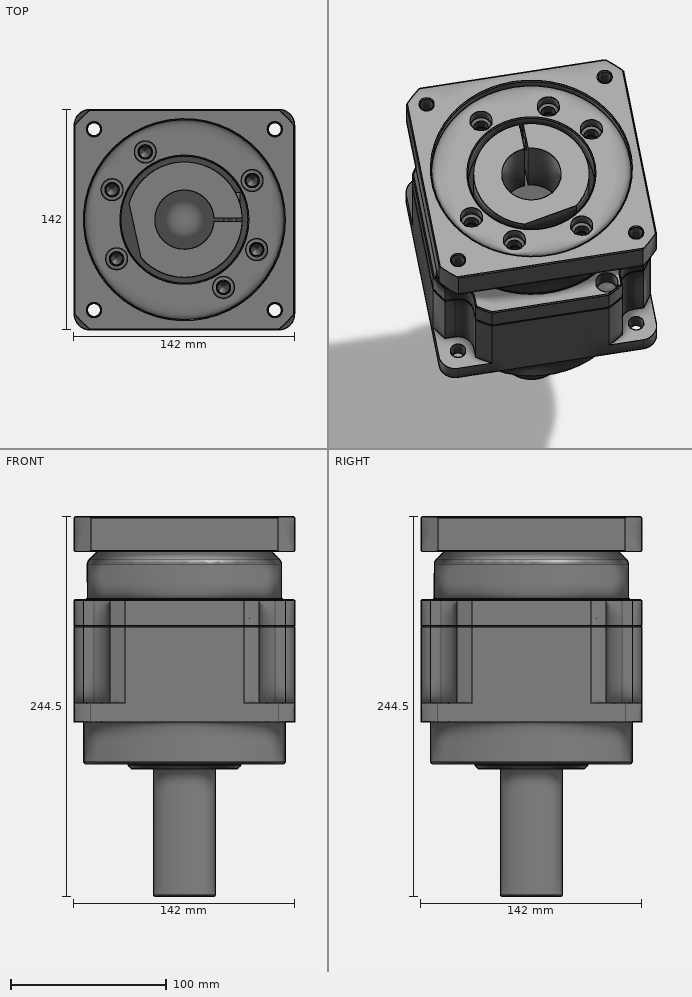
import cadquery as cq
import math

SEAL_BOTTOM = 82.2
PILOT_BOTTOM = 85.3
FLANGE_BOTTOM = 112.5
FLANGE_TOP = 124.5
COVER_BOTTOM = 173.5
COVER_TOP = 191.2
PLATE_BOTTOM = 222.0
PLATE_TOP = 244.5

SQUARE = 142.0
FLANGE_CORNER_RADIUS = 10.5
CASE_CORNER_RADIUS = 80.7
PLATE_CORNER_RADIUS = 93.2
EDGE_CHAMFER = 0.7

MOUNT_OFFSET = 58.2
FLANGE_HOLE_RADIUS = 5.0
PLATE_HOLE_RADIUS = 4.2
PLATE_HOLE_CHAMFER = 0.7
RELIEF_RADIUS = 10.3

SHAFT_RADIUS = 20.0
SHAFT_CHAMFER = 1.0
PILOT_RADIUS = 65.0
PILOT_CHAMFER = 1.2
SEAL_RADIUS = 36.5
SEAL_CHAMFER = 2.5

DRUM_RADIUS = 62.5
DRUM_CHAMFER = 6.4
DRUM_FILLET = 4.5
COLLAR_RADIUS = 63.0
COLLAR_HEIGHT = 0.7

COVER_SCREW_X = 61.9
COVER_SCREW_Y = 38.5
COVER_SCREW_DEPTH = 12.2

HEAD_RADIUS = 7.0
HEAD_DEPTH = 8.5
CLEARANCE_RADIUS = 4.6
TAP_RADIUS = 4.0
TAP_DEPTH = 14.7
TAP_POINT_HEIGHT = 2.2
SCREW_CIRCLE_RADIUS = 50.4
SCREW_ANGLES = (30, 120, 157.5, 210, 300, 337.5)

RECESS_RADIUS = 64.3
RECESS_DEPTH = 6.4
PLATE_FLOOR = PLATE_TOP - RECESS_DEPTH
OPENING_RADIUS = 40.8

HUB_DROP = 1.0
HUB_TOP = PLATE_FLOOR - HUB_DROP
HUB_RADIUS = 37.2
HUB_BORE_RADIUS = 19.0
HUB_BORE_DEPTH = 49.0
HUB_FLAT_DISTANCE = 32.5
HUB_FLAT_ANGLE = 192.4
SLIT_WIDTH = 2.5
CLAMP_SHANK_RADIUS = 4.0
CLAMP_HEAD_RADIUS = 6.5
CLAMP_HEAD_REACH = 36.0
CLAMP_HEAD_END = 17.5
CLAMP_DROP = 12.2


def disc(radius, bottom, top):
    return cq.Workplane("XY").workplane(offset=bottom).circle(radius).extrude(top - bottom)


def square_block(bottom, top):
    return cq.Workplane("XY").workplane(offset=bottom).rect(SQUARE, SQUARE).extrude(top - bottom)


def case_block(bottom, top):
    """Square block with rounded-off corners and a relief over each mounting hole."""
    block = square_block(bottom, top).intersect(disc(CASE_CORNER_RADIUS, bottom, top))
    inner = MOUNT_OFFSET - RELIEF_RADIUS
    relief = (
        cq.Workplane("XY")
        .box(SQUARE, SQUARE, top - bottom, centered=False)
        .translate((inner, inner, bottom))
        .edges("|Z and <X and <Y")
        .fillet(RELIEF_RADIUS)
    )
    for turn in range(4):
        block = block.cut(relief.rotate((0, 0, 0), (0, 0, 1), 90 * turn))
    return block


def mount_holes(radius, bottom, top):
    side = 2 * MOUNT_OFFSET
    holes = cq.Workplane("XY").workplane(offset=bottom).rect(side, side, forConstruction=True).vertices()
    return holes.circle(radius).extrude(top - bottom)


def plate_screw_holes():
    """Counterbore, clearance hole and pointed tap hole at each screw position."""
    head_floor = PLATE_FLOOR - HEAD_DEPTH
    tap_floor = PLATE_BOTTOM - TAP_DEPTH
    profile = (
        cq.Workplane("XZ")
        .moveTo(0, PLATE_FLOOR)
        .lineTo(HEAD_RADIUS, PLATE_FLOOR)
        .lineTo(HEAD_RADIUS, head_floor)
        .lineTo(CLEARANCE_RADIUS, head_floor)
        .lineTo(CLEARANCE_RADIUS, PLATE_BOTTOM)
        .lineTo(TAP_RADIUS, PLATE_BOTTOM)
        .lineTo(TAP_RADIUS, tap_floor)
        .lineTo(0, tap_floor - TAP_POINT_HEIGHT)
        .close()
    )
    hole = profile.revolve(360, (0, 0, 0), (0, 1, 0)).translate((SCREW_CIRCLE_RADIUS, 0, 0))
    holes = cq.Workplane("XY")
    for angle in SCREW_ANGLES:
        holes = holes.union(hole.rotate((0, 0, 0), (0, 0, 1), angle))
    return holes


def make_hub():
    """Clamp hub that stands on the housing, with a balance flat, a slit and its clamp screw."""
    bore_floor = HUB_TOP - HUB_BORE_DEPTH
    hub = disc(HUB_RADIUS, COVER_BOTTOM, HUB_TOP)
    flat = (
        cq.Workplane("XY")
        .box(HUB_RADIUS, 2 * HUB_RADIUS, HUB_TOP, centered=(False, True, False))
        .translate((HUB_FLAT_DISTANCE, 0, 0))
        .rotate((0, 0, 0), (0, 0, 1), HUB_FLAT_ANGLE)
    )
    slit = (
        cq.Workplane("XY")
        .box(HUB_RADIUS, SLIT_WIDTH, HUB_BORE_DEPTH, centered=(False, True, False))
        .translate((0, 0, bore_floor))
    )
    clamp_axis = cq.Workplane("XZ").center(CLAMP_HEAD_REACH - CLAMP_HEAD_RADIUS, HUB_TOP - CLAMP_DROP)
    screw_head = clamp_axis.workplane(offset=-CLAMP_HEAD_END).circle(CLAMP_HEAD_RADIUS)
    screw_head = screw_head.extrude(CLAMP_HEAD_END - SLIT_WIDTH / 2)
    shank = clamp_axis.circle(CLAMP_SHANK_RADIUS).extrude(SLIT_WIDTH / 2, both=True)
    hub = hub.cut(flat).cut(disc(HUB_BORE_RADIUS, bore_floor, HUB_TOP)).cut(slit)
    return hub.union(screw_head).union(shank)


def make_housing():
    """Lower case with its mounting flange, pilot, output shaft and clamp hub."""
    flange = square_block(FLANGE_BOTTOM, FLANGE_TOP).edges("|Z").fillet(FLANGE_CORNER_RADIUS)
    flange = flange.cut(mount_holes(FLANGE_HOLE_RADIUS, FLANGE_BOTTOM, FLANGE_TOP))
    pilot = disc(PILOT_RADIUS, PILOT_BOTTOM, FLANGE_BOTTOM).faces("<Z").chamfer(PILOT_CHAMFER)
    seal = disc(SEAL_RADIUS, SEAL_BOTTOM, PILOT_BOTTOM).faces("<Z").chamfer(SEAL_CHAMFER)
    shaft = disc(SHAFT_RADIUS, 0, SEAL_BOTTOM).faces("<Z").chamfer(SHAFT_CHAMFER)
    case = case_block(FLANGE_TOP, COVER_BOTTOM)
    return case.union(flange).union(pilot).union(seal).union(shaft).union(make_hub())


def make_drum():
    drum = disc(DRUM_RADIUS, COVER_TOP, PLATE_BOTTOM).faces(">Z").chamfer(DRUM_CHAMFER)
    shoulder = cq.selectors.NearestToPointSelector((0, 0, PLATE_BOTTOM - DRUM_CHAMFER))
    return drum.edges("%CIRCLE").edges(shoulder).fillet(DRUM_FILLET)


def make_cover():
    """Square cover with a hollow drum that carries the plate."""
    slab = case_block(COVER_BOTTOM, COVER_TOP).faces("<Z or >Z").chamfer(EDGE_CHAMFER)
    collar = disc(COLLAR_RADIUS, COVER_TOP, COVER_TOP + COLLAR_HEIGHT)
    cover = slab.union(collar).union(make_drum())
    screw_hole = disc(HEAD_RADIUS, COVER_TOP - COVER_SCREW_DEPTH, COVER_TOP)
    screw_hole = screw_hole.translate((COVER_SCREW_X, COVER_SCREW_Y, 0))
    for turn in range(4):
        cover = cover.cut(screw_hole.rotate((0, 0, 0), (0, 0, 1), 90 * turn))
    return cover.cut(disc(OPENING_RADIUS, COVER_BOTTOM, PLATE_BOTTOM)).cut(plate_screw_holes())


def plate_opening():
    """Recess and hub opening through the plate, each with a chamfered upper edge."""
    recess_rim = RECESS_RADIUS + EDGE_CHAMFER
    opening_rim = OPENING_RADIUS + EDGE_CHAMFER
    return (
        cq.Workplane("XZ")
        .moveTo(0, PLATE_TOP)
        .lineTo(recess_rim, PLATE_TOP)
        .lineTo(RECESS_RADIUS, PLATE_TOP - EDGE_CHAMFER)
        .lineTo(RECESS_RADIUS, PLATE_FLOOR)
        .lineTo(opening_rim, PLATE_FLOOR)
        .lineTo(OPENING_RADIUS, PLATE_FLOOR - EDGE_CHAMFER)
        .lineTo(OPENING_RADIUS, PLATE_BOTTOM)
        .lineTo(0, PLATE_BOTTOM)
        .close()
        .revolve(360, (0, 0, 0), (0, 1, 0))
    )


def make_plate():
    """Motor plate with a recess, an opening for the hub, and its screw and mounting holes."""
    outline = disc(PLATE_CORNER_RADIUS, PLATE_BOTTOM, PLATE_TOP)
    plate = square_block(PLATE_BOTTOM, PLATE_TOP).faces("<Z or >Z").chamfer(EDGE_CHAMFER)
    plate = plate.intersect(outline)
    plate = plate.cut(mount_holes(PLATE_HOLE_RADIUS, PLATE_BOTTOM, PLATE_TOP))
    hole_rims = plate.faces(">Z").edges("%CIRCLE").edges(cq.selectors.RadiusNthSelector(0))
    plate = hole_rims.chamfer(PLATE_HOLE_CHAMFER)
    return plate.cut(plate_opening()).cut(plate_screw_holes())


housing = make_housing()
cover = make_cover()
plate = make_plate()

result = cq.Compound.makeCompound([housing.val(), cover.val(), plate.val()])